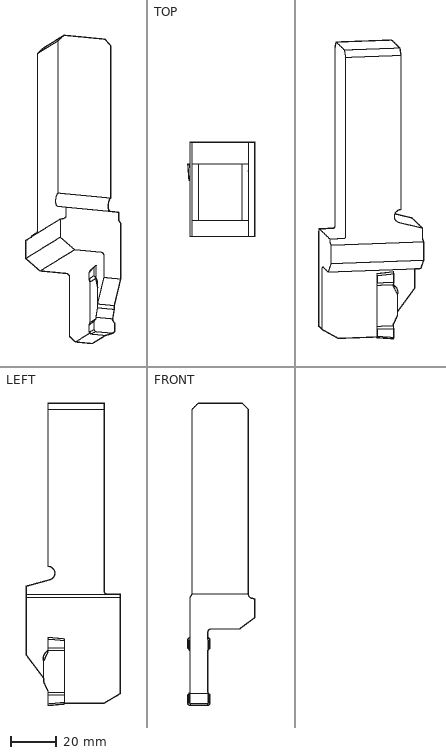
import cadquery as cq
import math

total_height = 133.4
depth = 41.6

shank_size = 25.0
shank_left = 1.0
shank_right = shank_left + shank_size
shank_front = 7.1
shank_back = shank_front + shank_size
top_chamfer = 2.8
root_fillet = 0.8
ledge_z = 49.4

head_right = 28.7
side_bevel_top = 49.1
side_bevel_bottom = 47.8
shoulder_z = 47.1
shoulder_angle = 15.0
shoulder_fillet = 1.6
head_lower_z = 38.8
head_underside_z = 33.7
underside_start_x = 21.9
blade_width = 8.0
blade_fillet = 1.3

blade_bottom = 1.1
front_chamfer_y = 7.2
front_chamfer_top = 5.3
back_top_z = 52.7
back_lower_z = 22.4
back_slope_end_z = 12.1
relief_radius = 3.0
relief_y = 31.9
relief_z = 58.4

insert_height = 30.1
insert_front = 24.7
insert_back = 33.9
insert_body_slope = 3.9
tip_drop = 0.7
tip_overhang_back = 1.0
tip_overhang_front = 0.4
tip_corner = 0.8
tip_side_height = 4.7
tip_height = 5.9
insert_slope_start = 6.5
pocket_gap = 1.1


def make_shank_and_head():
    """Outline in XZ, extruded through the whole depth."""
    shoulder_rise = (head_right - shank_right) * math.tan(math.radians(shoulder_angle))
    corner_z = shoulder_z + shoulder_rise
    solid = (
        cq.Workplane("XZ")
        .moveTo(0, blade_bottom)
        .lineTo(0, side_bevel_bottom)
        .lineTo(shank_left, side_bevel_top)
        .lineTo(shank_left, total_height - top_chamfer)
        .lineTo(shank_left + top_chamfer, total_height)
        .lineTo(shank_right - top_chamfer, total_height)
        .lineTo(shank_right, total_height - top_chamfer)
        .lineTo(shank_right, corner_z)
        .lineTo(head_right, shoulder_z)
        .lineTo(head_right, head_lower_z)
        .lineTo(underside_start_x, head_underside_z)
        .lineTo(blade_width, head_underside_z)
        .lineTo(blade_width, blade_bottom)
        .close()
        .extrude(-depth)
    )
    middle = depth / 2
    solid = solid.edges(cq.NearestToPointSelector((shank_right, middle, corner_z))).fillet(shoulder_fillet)
    inner_corner = cq.NearestToPointSelector((blade_width, middle, head_underside_z))
    return solid.edges(inner_corner).fillet(blade_fillet)


def make_side_outline():
    """Outline in YZ that shapes the front and back, with the round relief behind the shank."""
    slope = math.radians(shoulder_angle)
    relief_start_z = relief_z + math.sqrt(relief_radius**2 - (shank_back - relief_y) ** 2)
    relief_end = (relief_y - relief_radius * math.sin(slope), relief_z - relief_radius * math.cos(slope))
    return (
        cq.Workplane("YZ")
        .moveTo(front_chamfer_y, blade_bottom)
        .lineTo(0, front_chamfer_top)
        .lineTo(0, ledge_z)
        .lineTo(shank_front - root_fillet, ledge_z)
        .radiusArc((shank_front, ledge_z + root_fillet), -root_fillet)
        .lineTo(shank_front, total_height)
        .lineTo(shank_back, total_height)
        .lineTo(shank_back, relief_start_z)
        .threePointArc((relief_y - relief_radius, relief_z), relief_end)
        .lineTo(depth, back_top_z)
        .lineTo(depth, back_lower_z)
        .lineTo(insert_back, back_slope_end_z)
        .lineTo(insert_back, blade_bottom)
        .close()
        .extrude(head_right)
    )


def make_pocket():
    """Seat for the insert, open at the bottom and the back, with a gap above the body slope."""
    slope_end = insert_height - insert_slope_start - insert_body_slope
    return (
        cq.Workplane("YZ")
        .moveTo(insert_front, 0)
        .lineTo(insert_front, insert_height - tip_drop)
        .lineTo(shank_back, insert_height)
        .lineTo(shank_back, insert_height - tip_height)
        .threePointArc(
            ((shank_back + insert_back) / 2 + pocket_gap / 2, slope_end + insert_body_slope / 2 + pocket_gap),
            (insert_back, slope_end),
        )
        .lineTo(insert_back, 0)
        .close()
        .extrude(blade_width)
    )


def make_cutting_end():
    """Lower cutting end, tapering from the cutting edge at the back to the front."""

    def section(y, overhang, tip_z):
        left = -overhang
        right = blade_width + overhang
        points = [
            (left + tip_corner, tip_z),
            (right - tip_corner, tip_z),
            (right, tip_z + tip_corner),
            (right, tip_side_height),
            (blade_width, tip_height),
            (0, tip_height),
            (left, tip_side_height),
            (left, tip_z + tip_corner),
        ]
        return cq.Wire.makePolygon([cq.Vector(x, y, z) for x, z in points], close=True)

    front = section(insert_front, tip_overhang_front, tip_drop)
    back = section(shank_back, tip_overhang_back, 0)
    return cq.Workplane(cq.Solid.makeLoft([front, back], True))


def make_insert():
    slope_end = insert_slope_start + insert_body_slope
    body = (
        cq.Workplane("YZ")
        .polyline([
            (insert_front, tip_side_height),
            (shank_back, tip_side_height),
            (shank_back, insert_slope_start),
            (insert_back, slope_end),
            (insert_back, insert_height - slope_end),
            (shank_back, insert_height - insert_slope_start),
            (shank_back, insert_height - tip_side_height),
            (insert_front, insert_height - tip_side_height),
        ])
        .close()
        .extrude(blade_width)
    )
    lower_end = make_cutting_end()
    upper_end = lower_end.mirror("XY", (0, 0, insert_height / 2))
    return body.union(lower_end).union(upper_end)


holder = make_shank_and_head().intersect(make_side_outline()).cut(make_pocket())
insert = make_insert()

result = cq.Compound.makeCompound([holder.solids().val(), insert.solids().val()])